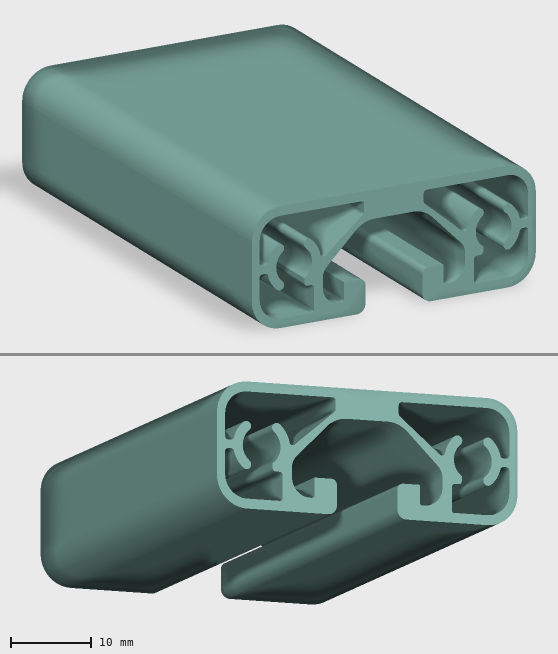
import cadquery as cq
import math


length = 60.0
width = 40.0
height = 16.0
corner_radius = 4.0
half_width = width / 2
half_height = height / 2

side_wall = 1.1
skin = 1.25
spine_depth = 3.85
channel_wall = 1.25

slot_half_width = 4.0
channel_half_width = 10.0
channel_floor = 1.9
lip_width = 3.0
lip_height = 4.5
channel_slope = 45.0
channel_roof_radius = 3.85
channel_shoulder_radius = 2.0
channel_floor_radius = 2.4
lip_root_radius = 0.3
lip_top_radius = 0.8
lip_bottom_radius = 1.2
shoulder_height = 6.4

chamber_inner_end = 4.2
chamber_end_height = 1.7
chamber_slope = 40.0
chamber_corner_radius = 2.95
chamber_root_radius = 0.3
small_radius = 0.4

screw_y = half_width - 5.95
screw_inner_radius = 2.5
screw_outer_radius = 3.8
arm_angle = 50.0
stem_thickness = 1.1
ledge_y = 12.6
ledge_height = 4.9


def extrude_outline(points):
    """Closed (y, z) polygon extruded over the full bar length."""
    return cq.Workplane("YZ").polyline(points).close().extrude(length)


def screw_cylinder(radius):
    return cq.Workplane("YZ").center(screw_y, 0).circle(radius).extrude(length)


def round_edges(body, corners, radius):
    """Fillet the lengthwise edges that pass through the given (y, z) corners."""
    for y, z in corners:
        edge = cq.selectors.NearestToPointSelector((length / 2, y, z))
        body = body.edges("|X").edges(edge).fillet(radius)
    return body


def screw_point(radius, angle):
    """Point at a polar position about the screw channel axis."""
    turn = math.radians(angle)
    return (screw_y + radius * math.cos(turn), radius * math.sin(turn))


def arm(start, end):
    """Curved arm about the screw channel axis, with a rounded tip at each end."""
    middle = (start + end) / 2
    middle_radius = (screw_inner_radius + screw_outer_radius) / 2
    tip_radius = (screw_outer_radius - screw_inner_radius) / 2
    tip_angle = math.degrees(tip_radius / middle_radius)
    return (
        cq.Workplane("YZ")
        .moveTo(*screw_point(screw_inner_radius, start))
        .threePointArc(
            screw_point(screw_inner_radius, middle), screw_point(screw_inner_radius, end)
        )
        .threePointArc(
            screw_point(middle_radius, end + tip_angle), screw_point(screw_outer_radius, end)
        )
        .threePointArc(
            screw_point(screw_outer_radius, middle), screw_point(screw_outer_radius, start)
        )
        .threePointArc(
            screw_point(middle_radius, start - tip_angle), screw_point(screw_inner_radius, start)
        )
        .close()
        .extrude(length)
    )


def slope_meets_arm(end_z, slope):
    """Point where the sloping wall line first meets the outer circle of the inner arm."""
    reach = screw_y - chamber_inner_end
    square_term = 1 + slope**2
    half_linear_term = reach + slope * end_z
    constant_term = reach**2 + end_z**2 - screw_outer_radius**2
    root = math.sqrt(half_linear_term**2 - square_term * constant_term)
    run = (half_linear_term - root) / square_term
    return (chamber_inner_end + run, end_z - slope * run)


def chamber():
    """Hollow space on the +Y side, already shaped around the screw channel arms."""
    outer_y = half_width - side_wall
    wall_y = channel_half_width + channel_wall
    roof_z = half_height - skin
    floor_z = -roof_z
    end_z = roof_z - chamber_end_height
    slope = math.tan(math.radians(chamber_slope))
    wall_top_z = end_z - slope * (wall_y - chamber_inner_end)
    body = extrude_outline([
        (outer_y, floor_z),
        (outer_y, roof_z),
        (chamber_inner_end, roof_z),
        (chamber_inner_end, end_z),
        (wall_y, wall_top_z),
        (wall_y, floor_z),
    ])
    body = round_edges(body, [(outer_y, floor_z), (outer_y, roof_z)], chamber_corner_radius)
    body = round_edges(
        body, [(chamber_inner_end, roof_z), (chamber_inner_end, end_z)], small_radius
    )
    body = round_edges(body, [(wall_y, floor_z)], chamber_root_radius)

    outer_arm = arm(-arm_angle, arm_angle)
    inner_arm = arm(180 - arm_angle, 180 + arm_angle / 2)
    stem_root_y = screw_y + (screw_inner_radius + screw_outer_radius) / 2
    stem_half = stem_thickness / 2
    stem = extrude_outline([
        (stem_root_y, -stem_half),
        (half_width, -stem_half),
        (half_width, stem_half),
        (stem_root_y, stem_half),
    ])
    ledge_z = ledge_height - half_height
    ledge = extrude_outline([
        (wall_y, ledge_z),
        (ledge_y, ledge_z),
        (ledge_y, 0),
        (wall_y, 0),
    ]).cut(screw_cylinder(screw_inner_radius))
    body = body.cut(outer_arm).cut(stem).cut(inner_arm).cut(ledge)

    stem_arm_y = screw_y + math.sqrt(screw_outer_radius**2 - stem_half**2)
    joints = [(y, z) for y in (outer_y, stem_arm_y) for z in (-stem_half, stem_half)]
    joints += [(wall_y, ledge_z), (ledge_y, ledge_z)]
    joints.append(slope_meets_arm(end_z, slope))
    return round_edges(body, joints, small_radius)


def t_slot():
    """Open channel along the bottom centre, with hooked lips."""
    roof_z = half_height - spine_depth
    floor_z = channel_floor - half_height
    lip_z = lip_height - half_height
    lip_y = slot_half_width + lip_width
    shoulder_z = shoulder_height - half_height
    roof_y = channel_half_width - (roof_z - shoulder_z) / math.tan(math.radians(channel_slope))
    half = [
        (slot_half_width, -half_height),
        (slot_half_width, lip_z),
        (lip_y, lip_z),
        (lip_y, floor_z),
        (channel_half_width, floor_z),
        (channel_half_width, shoulder_z),
        (roof_y, roof_z),
    ]
    body = extrude_outline(half + [(-y, z) for y, z in reversed(half)])
    radii = [
        None,
        lip_top_radius,
        None,
        lip_root_radius,
        channel_floor_radius,
        channel_shoulder_radius,
        channel_roof_radius,
    ]
    for (y, z), radius in zip(half, radii):
        if radius:
            body = round_edges(body, [(y, z), (-y, z)], radius)
    return body


bar = cq.Workplane("YZ").rect(width, height).extrude(length)
bar = bar.edges("|X").fillet(corner_radius)
bar = bar.cut(t_slot())
slot_mouth = [(side * slot_half_width, -half_height) for side in (-1, 1)]
bar = round_edges(bar, slot_mouth, lip_bottom_radius)
hollow = chamber()
bar = bar.cut(hollow).cut(hollow.mirror("XZ"))
result = bar.translate((-length / 2, 0, 0))